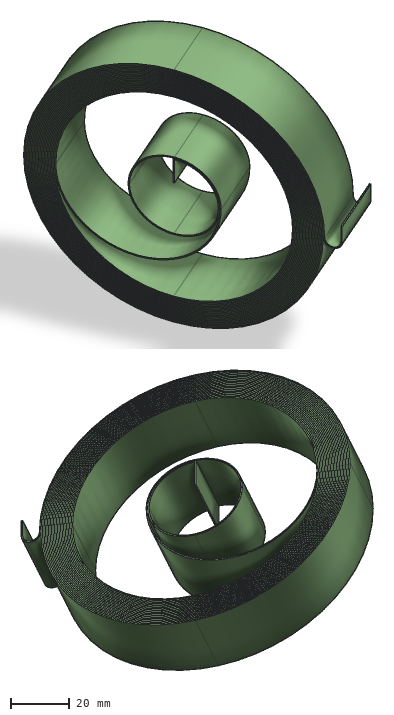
import cadquery as cq
import math

overall_length = 119.55
overall_height = 112.72
strip_width = 25.0

strip_thickness = 0.549
layer_gap = 0.001
pitch = strip_thickness + layer_gap
half_thickness = strip_thickness / 2
quarter_growth = pitch / 4

ring_start_radius = 16.72
ring_quarters = 5
tab_tip_z = 6.0

lead_radius = 31.03
lead_quarters = 2

coil_turns = 22
coil_quarters = 4 * (coil_turns - 1) + 2
coil_end_radius = (overall_height - strip_thickness + 3 * quarter_growth) / 2
coil_start_radius = coil_end_radius - (coil_quarters - 1) * quarter_growth
coil_span = 2 * coil_end_radius - quarter_growth

hook_radius = (overall_length - strip_thickness - coil_span) / 2
hook_quarters = 2
hook_tip_z = 7.05

CLOCKWISE = -1
COUNTERCLOCKWISE = 1


def winding():
    """Middle-line radius and turning direction of every quarter turn, from the tab to the hook."""
    ring = [(ring_start_radius + i * quarter_growth, CLOCKWISE) for i in range(ring_quarters)]
    lead = [(lead_radius, CLOCKWISE)] * lead_quarters
    coil = [(coil_start_radius + i * quarter_growth, CLOCKWISE) for i in range(coil_quarters)]
    hook = [(hook_radius, COUNTERCLOCKWISE)] * hook_quarters
    return ring + lead + coil + hook


def polar(center, radius, angle):
    """Point at a distance and direction from a centre."""
    return (center[0] + radius * math.cos(angle), center[1] + radius * math.sin(angle))


def quarter_arcs(offset):
    """Start, middle and end point of each quarter turn, offset to the left of the middle line."""
    arcs = []
    end = (0, ring_start_radius)
    heading = 0
    for radius, turn in winding():
        start_angle = heading - turn * math.pi / 2
        end_angle = heading
        center = polar(end, -radius, start_angle)
        offset_radius = radius - turn * offset
        angles = (start_angle, (start_angle + end_angle) / 2, end_angle)
        arcs.append([polar(center, offset_radius, angle) for angle in angles])
        end = polar(center, radius, end_angle)
        heading += turn * math.pi / 2
    return arcs


def spring_profile():
    """Closed outline of the strip seen edge on: out along its left face and back along its right face."""
    left_arcs = quarter_arcs(half_thickness)
    right_arcs = quarter_arcs(-half_thickness)

    tab_x = -strip_thickness
    ring_outer_radius = ring_start_radius + half_thickness
    shoulder_z = math.sqrt(ring_outer_radius**2 - tab_x**2)
    shoulder_half_angle = math.asin(strip_thickness / ring_outer_radius) / 2
    shoulder_middle = polar((0, 0), ring_outer_radius, math.pi / 2 + shoulder_half_angle)
    profile = cq.Workplane("XZ").moveTo(0, tab_tip_z).lineTo(tab_x, tab_tip_z).lineTo(tab_x, shoulder_z)
    profile = profile.threePointArc(shoulder_middle, left_arcs[0][0])

    for _, middle, end in left_arcs:
        profile = profile.threePointArc(middle, end)

    tail_left = left_arcs[-1][-1]
    tail_right = right_arcs[-1][-1]
    profile = profile.lineTo(tail_left[0], hook_tip_z).lineTo(tail_right[0], hook_tip_z).lineTo(*tail_right)

    for start, middle, _ in reversed(right_arcs):
        profile = profile.threePointArc(middle, start)
    return profile.close()


result = spring_profile().extrude(strip_width / 2, both=True)